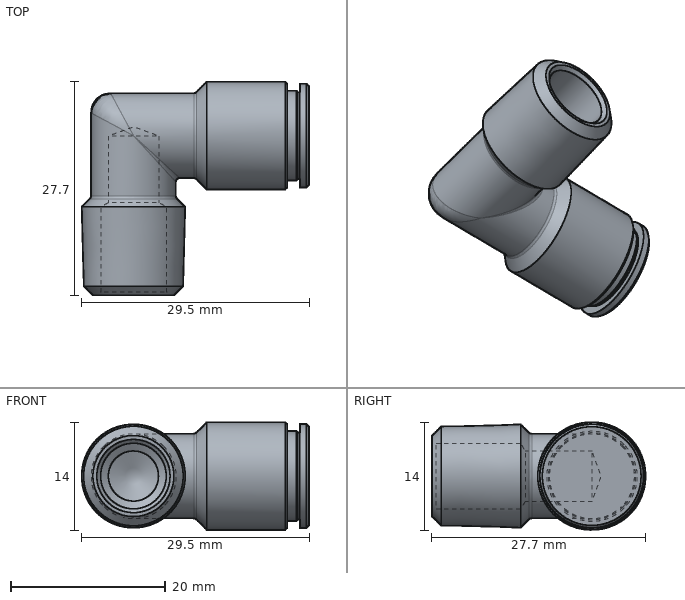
import cadquery as cq
import math


neck_radius = 5.5
outer_corner_radius = 2.5
inner_corner_radius = 0.5
shoulder_start = 8.0
shoulder_fillet = 0.5
neck_length = 7.0

body_radius = 7.0
body_end = 19.95
body_chamfer = 0.3
collar_radius = 5.85
collar_end = 21.3
collar_chamfer = 0.2
flange_radius = 6.75
flange_start = 21.55
tube_arm_length = 22.75
flange_chamfer = 0.35

thread_radius = 6.72
thread_end_radius = 6.45
threaded_arm_length = 20.7
tip_chamfer = 1.2

bore_radius = 4.25
bore_mouth_chamfer = 0.5
bore_depth = 11.5
bore_cone_half_angle = 60.0
inner_bore_radius = 3.25
inner_bore_end = 0.0
inner_cone_half_angle = 70.0

THREADED_AXIS = cq.Vector(0, -1, 0)
TUBE_AXIS = cq.Vector(1, 0, 0)


def revolve_profile(profile, axis):
    """Revolve a closed (radius, distance) profile about an arm axis."""
    radial = cq.Vector(0, 0, 1).cross(axis)
    plane = cq.Plane(origin=(0, 0, 0), xDir=radial, normal=radial.cross(axis))
    return cq.Workplane(plane).polyline(profile).close().revolve(360, (0, 0), (0, 1))


def round_shoulder(arm, axis):
    """Fillet the concave circle where the neck meets the 45 degree shoulder."""
    def at_shoulder(edge):
        distance = edge.Center().dot(axis)
        return abs(distance - shoulder_start) < shoulder_fillet / 2

    shoulder_edges = [edge for edge in arm.edges("%CIRCLE").vals() if at_shoulder(edge)]
    return arm.newObject(shoulder_edges).fillet(shoulder_fillet)


def make_tube_arm():
    """Body, collar groove and release flange of the tube arm."""
    profile = [
        (0, neck_length),
        (neck_radius, neck_length),
        (neck_radius, shoulder_start),
        (body_radius, shoulder_start + body_radius - neck_radius),
        (body_radius, body_end - body_chamfer),
        (body_radius - body_chamfer, body_end),
        (collar_radius, body_end),
        (collar_radius, collar_end - collar_chamfer),
        (collar_radius - collar_chamfer, collar_end),
        (collar_radius - collar_chamfer, flange_start),
        (flange_radius, flange_start),
        (flange_radius, tube_arm_length - flange_chamfer),
        (flange_radius - flange_chamfer, tube_arm_length),
        (0, tube_arm_length),
    ]
    return round_shoulder(revolve_profile(profile, TUBE_AXIS), TUBE_AXIS)


def make_threaded_arm():
    """Tapered thread envelope with a chamfered tip."""
    profile = [
        (0, neck_length),
        (neck_radius, neck_length),
        (neck_radius, shoulder_start),
        (thread_radius, shoulder_start + thread_radius - neck_radius),
        (thread_end_radius, threaded_arm_length - tip_chamfer),
        (thread_end_radius - tip_chamfer, threaded_arm_length),
        (0, threaded_arm_length),
    ]
    return round_shoulder(revolve_profile(profile, THREADED_AXIS), THREADED_AXIS)


def triangle_prism(points):
    """Triangular prism tall enough to enclose the neck."""
    return cq.Workplane("XY").polyline(points).close().extrude(2 * neck_radius, both=True)


def mitred_neck():
    """Two equal cylinders joined at 45 degrees on the plane x + y = 0, before rounding."""
    size = 2 * neck_length
    tube_side = triangle_prism([(-size, size), (size, size), (size, -size)])
    threaded_side = triangle_prism([(-size, size), (-size, -size), (size, -size)])
    along_x = cq.Workplane("YZ").circle(neck_radius).extrude(neck_length, both=True)
    along_y = cq.Workplane("XZ").circle(neck_radius).extrude(neck_length, both=True)
    return along_x.intersect(tube_side).union(along_y.intersect(threaded_side))


def round_mitre(half_neck, radius):
    """Fillet the mitre edges of half a neck: the ellipses lying on the plane x + y = 0."""
    tolerance = 1e-6

    def on_mitre(edge):
        points = edge.positions([0, 0.5])
        return all(abs(point.x + point.y) < tolerance for point in points)

    mitre_edges = [edge for edge in half_neck.edges("%ELLIPSE").vals() if on_mitre(edge)]
    return half_neck.newObject(mitre_edges).fillet(radius)


def make_neck():
    """Mitred neck with its outer and inner corners rounded.

    The mitre edge changes from convex to concave where it crosses the plane x = y,
    so each side of that plane is rounded on its own.
    """
    neck = mitred_neck()
    size = 2 * neck_length
    outer_side = triangle_prism([(-size, -size), (size, size), (-size, size)])
    outer_half = round_mitre(neck.intersect(outer_side), outer_corner_radius)
    inner_half = round_mitre(neck.cut(outer_side), inner_corner_radius)
    return outer_half.union(inner_half)


def make_bore():
    """Stepped bore with conical bottoms, opening at the threaded end."""
    step_start = threaded_arm_length - bore_depth
    step_depth = (bore_radius - inner_bore_radius) / math.tan(math.radians(bore_cone_half_angle))
    cone_depth = inner_bore_radius / math.tan(math.radians(inner_cone_half_angle))
    profile = [
        (0, threaded_arm_length),
        (bore_radius + bore_mouth_chamfer, threaded_arm_length),
        (bore_radius, threaded_arm_length - bore_mouth_chamfer),
        (bore_radius, step_start),
        (inner_bore_radius, step_start - step_depth),
        (inner_bore_radius, inner_bore_end),
        (0, inner_bore_end - cone_depth),
    ]
    return revolve_profile(profile, THREADED_AXIS)


result = make_neck().union(make_tube_arm()).union(make_threaded_arm()).cut(make_bore())